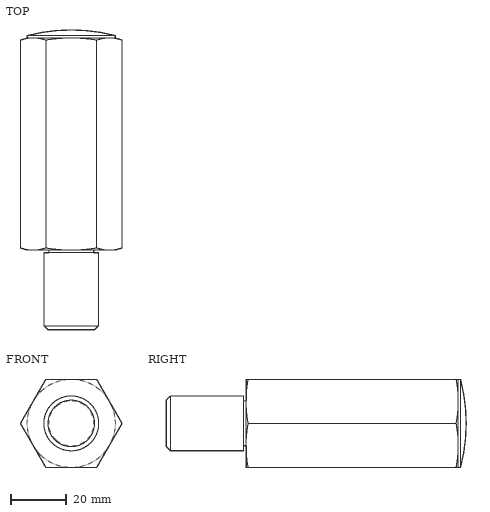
import cadquery as cq
import math

total_length = 109.0
across_flats = 32.0
across_corners = across_flats / math.cos(math.radians(30))
flat_radius = across_flats / 2
corner_radius = across_corners / 2

stud_length = 29.0
dome_height = 2.1
collar_length = 0.9
corner_chamfer_length = 0.8

stud_radius = 20.0 / 2
neck_radius = 16.4 / 2
neck_length = 0.9
tip_chamfer = 1.5

tip_y = -total_length / 2
body_front_y = tip_y + stud_length
dome_top_y = total_length / 2
dome_base_y = dome_top_y - dome_height
body_back_y = dome_base_y - collar_length
sphere_radius = (flat_radius**2 + dome_height**2) / (2 * dome_height)


def make_body():
    """Hexagonal bar trimmed by a turned shape: conical corners, collar and dome."""
    hexagon = (
        cq.Workplane("XZ", origin=(0, body_front_y, 0))
        .polygon(6, across_corners)
        .extrude(-(dome_top_y - body_front_y))
    )
    arc_mid_x = flat_radius / 2
    sphere_center_y = dome_top_y - sphere_radius
    arc_mid_y = sphere_center_y + math.sqrt(sphere_radius**2 - arc_mid_x**2)
    envelope = (
        cq.Workplane("XY")
        .moveTo(0, body_front_y)
        .lineTo(flat_radius, body_front_y)
        .lineTo(corner_radius, body_front_y + corner_chamfer_length)
        .lineTo(corner_radius, body_back_y - corner_chamfer_length)
        .lineTo(flat_radius, body_back_y)
        .lineTo(flat_radius, dome_base_y)
        .threePointArc((arc_mid_x, arc_mid_y), (0, dome_top_y))
        .close()
        .revolve(360, (0, 0, 0), (0, 1, 0))
    )
    return hexagon.intersect(envelope)


def make_stud():
    """Plain stud with a chamfered tip and a relief neck next to the body."""
    shank = (
        cq.Workplane("XZ", origin=(0, tip_y, 0))
        .circle(stud_radius)
        .extrude(-(stud_length - neck_length))
        .faces("<Y")
        .chamfer(tip_chamfer)
    )
    neck = (
        cq.Workplane("XZ", origin=(0, body_front_y - neck_length, 0))
        .circle(neck_radius)
        .extrude(-neck_length)
    )
    return shank.union(neck)


result = make_body().union(make_stud())